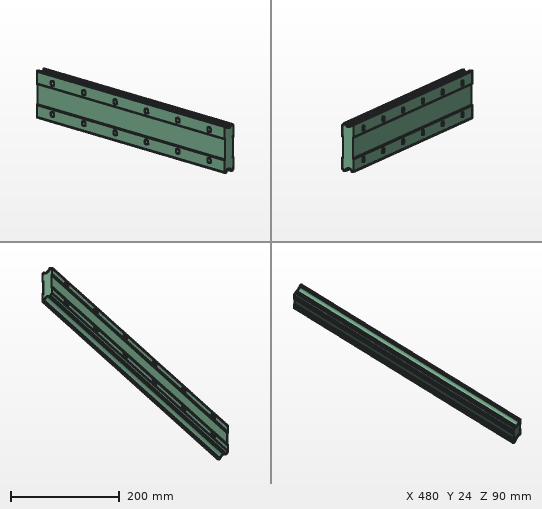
import cadquery as cq
import math

length = 480.0
thickness = 24.0
height = 90.0
half_thickness = thickness / 2
half_height = height / 2

recess_depth = 1.5
recess_floor_half_height = 19.5
recess_mouth_half_height = 20.5

front_bevel = 1.0
back_bevel = 4.5

groove_center_y = -1.0
groove_radius = 7.0
groove_depth = 6.0
groove_back_y = 5.5
groove_back_depth = 2.0
groove_ramp_foot_y = 2.0

hole_diameter = 9.0
hole_columns = 6
hole_pitch = length / hole_columns
hole_row_spacing = 60.0


def rail_blank():
    """Extruded cross-section with recesses and bevelled edges, centered on the origin."""
    floor_y = half_thickness - recess_depth
    front_half = [
        (-half_thickness + front_bevel, -half_height),
        (-half_thickness, -half_height + front_bevel),
        (-half_thickness, -recess_mouth_half_height),
        (-floor_y, -recess_floor_half_height),
        (-floor_y, recess_floor_half_height),
        (-half_thickness, recess_mouth_half_height),
        (-half_thickness, half_height - front_bevel),
        (-half_thickness + front_bevel, half_height),
    ]
    back_half = [
        (half_thickness - back_bevel, half_height),
        (half_thickness, half_height - back_bevel),
        (half_thickness, recess_mouth_half_height),
        (floor_y, recess_floor_half_height),
        (floor_y, -recess_floor_half_height),
        (half_thickness, -recess_mouth_half_height),
        (half_thickness, -half_height + back_bevel),
        (half_thickness - back_bevel, -half_height),
    ]
    section = cq.Workplane("YZ").polyline(front_half + back_half).close()
    return section.extrude(length / 2, both=True)


def edge_groove():
    """Cutter for the groove in the top edge."""
    foot_offset = groove_ramp_foot_y - groove_center_y
    center_height = groove_radius - groove_depth
    foot_depth = math.sqrt(groove_radius**2 - foot_offset**2) - center_height
    mouth_half_width = math.sqrt(groove_radius**2 - center_height**2)
    return (
        cq.Workplane("YZ")
        .moveTo(groove_back_y, half_height)
        .lineTo(groove_back_y, half_height - groove_back_depth)
        .lineTo(groove_ramp_foot_y, half_height - foot_depth)
        .threePointArc(
            (groove_center_y, half_height - groove_depth),
            (groove_center_y - mouth_half_width, half_height),
        )
        .close()
        .extrude(length / 2, both=True)
    )


def mounting_holes():
    """Cutters for the holes that pass through the thickness."""
    return (
        cq.Workplane("XZ")
        .rarray(hole_pitch, hole_row_spacing, hole_columns, 2)
        .circle(hole_diameter / 2)
        .extrude(thickness, both=True)
    )


top_groove = edge_groove()
bottom_groove = top_groove.mirror("XY")
result = rail_blank().cut(top_groove).cut(bottom_groove).cut(mounting_holes())